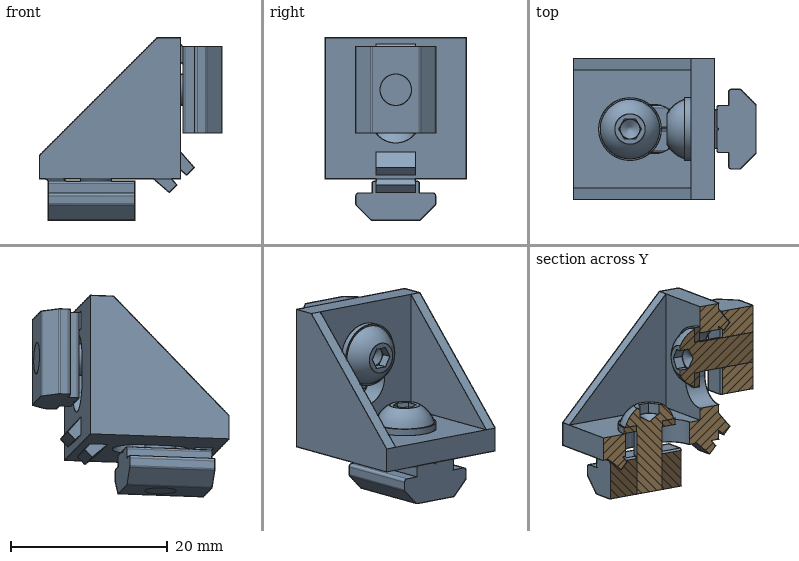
import cadquery as cq
import math

leg_length = 18.0
bracket_width = leg_length
plate_thickness = 3.0
cheek_thickness = 1.5

slot_width = 6.3
slot_start = 6.66
slot_end = 10.28

tab_width = 4.99
tab_slant = 45.0
tab_draft = 4.0
tab_tip_thickness = 1.37
tab_reach = 1.77
tab_buried = 1.5
tab_start = 2.05
tab_pitch = 13.75
tabs_per_leg = 2

overall_length = 23.3
nut_gap = 0.28
nut_height = overall_length - leg_length - nut_gap
nut_length = 11.05
nut_width = 10.2
nut_start = 1.12
neck_width = 6.03
neck_height = 1.5
nut_bevel = 2.0
neck_fillet = 0.3
shoulder_fillet = 0.4
bevel_fillet = 0.3
groove_width = 0.47
groove_depth = groove_width / 2

washer_diameter = 8.0
washer_thickness = 0.85
shank_diameter = 4.0
head_diameter = 7.6
head_flat_diameter = 3.87
head_height = 2.24
hex_across_flats = 2.52
hex_depth = 1.3
hex_cone_angle = 120.0

base_screw_position = 7.22
upright_screw_position = nut_start + nut_length / 2


def on_base(shape):
    """The base leg is where every fastener is modelled, so it needs no move."""
    return shape


def on_upright(shape):
    """Half turn about the diagonal of the bracket, which swaps the base leg and the upright leg."""
    return shape.rotate((leg_length, 0, 0), (0, 0, leg_length), 180)


def make_tab(axis_position):
    """Tapered tab whose slanted axis crosses the outer face of the base leg at axis_position."""
    tip_half = tab_tip_thickness / 2
    buried_half = tip_half + (tab_reach + tab_buried) * math.tan(math.radians(tab_draft))
    return (
        cq.Workplane("XZ")
        .polyline([
            (-tab_buried, -buried_half),
            (tab_reach, -tip_half),
            (tab_reach, tip_half),
            (-tab_buried, buried_half),
        ])
        .close()
        .extrude(tab_width / 2, both=True)
        .rotate((0, 0, 0), (0, 1, 0), tab_slant)
        .translate((axis_position, 0, 0))
    )


def make_leg_slot():
    """Round-ended cutter through the base leg."""
    return (
        cq.Workplane("XY")
        .center((slot_start + slot_end) / 2, 0)
        .slot2D(slot_end - slot_start + slot_width, slot_width)
        .extrude(plate_thickness)
    )


def make_bracket():
    body = (
        cq.Workplane("XZ")
        .polyline([
            (0, 0),
            (leg_length, 0),
            (leg_length, leg_length),
            (leg_length - plate_thickness, leg_length),
            (0, plate_thickness),
        ])
        .close()
        .extrude(bracket_width / 2, both=True)
    )
    inside_length = leg_length - plate_thickness
    inside = (
        cq.Workplane("XY")
        .box(inside_length, bracket_width - 2 * cheek_thickness, inside_length, centered=(False, True, False))
        .translate((0, 0, plate_thickness))
    )
    body = body.cut(inside)
    for place in (on_base, on_upright):
        body = body.cut(place(make_leg_slot()))
        for index in range(tabs_per_leg):
            body = body.union(place(make_tab(tab_start + index * tab_pitch)))
    return body


def make_washer(position):
    return (
        cq.Workplane("XY")
        .circle(washer_diameter / 2)
        .circle(shank_diameter / 2)
        .extrude(washer_thickness)
        .translate((position, 0, plate_thickness))
    )


def make_head():
    """Spherical button head standing on z = 0."""
    base_radius = head_diameter / 2
    flat_radius = head_flat_diameter / 2
    centre_height = (flat_radius**2 + head_height**2 - base_radius**2) / (2 * head_height)
    sphere_radius = math.hypot(base_radius, centre_height)
    middle_height = head_height / 2
    middle_radius = math.sqrt(sphere_radius**2 - (middle_height - centre_height)**2)
    return (
        cq.Workplane("XZ")
        .lineTo(base_radius, 0)
        .threePointArc((middle_radius, middle_height), (flat_radius, head_height))
        .lineTo(0, head_height)
        .close()
        .revolve(360, (0, 0, 0), (0, 1, 0))
    )


def make_hex_socket():
    """Hexagonal socket with a drill-point bottom, cut down from the top of the head."""
    floor_height = head_height - hex_depth
    across_corners = hex_across_flats / math.cos(math.pi / 6)
    drill_radius = hex_across_flats / 2
    drill_depth = drill_radius / math.tan(math.radians(hex_cone_angle / 2))
    hexagon = (
        cq.Workplane("XY")
        .workplane(offset=floor_height)
        .polygon(6, across_corners)
        .extrude(hex_depth)
    )
    drill_point = (
        cq.Workplane("XZ")
        .moveTo(0, floor_height)
        .lineTo(drill_radius, floor_height)
        .lineTo(0, floor_height - drill_depth)
        .close()
        .revolve(360, (0, 0, 0), (0, 1, 0))
    )
    return hexagon.union(drill_point)


def make_screw(position, socket_turn):
    """Button-head screw whose shank ends flush with the far face of the nut."""
    shank_length = washer_thickness + plate_thickness + nut_gap + nut_height
    shank = cq.Workplane("XY").circle(shank_diameter / 2).extrude(-shank_length)
    socket = make_hex_socket().rotate((0, 0, 0), (0, 0, 1), socket_turn)
    screw = make_head().union(shank).cut(socket)
    return screw.translate((position, 0, plate_thickness + washer_thickness))


def make_nut(screw_position):
    """T-slot nut under the base leg, with a recess for the tab that reaches into it."""
    top = -nut_gap
    shoulder = top - neck_height
    bottom = top - nut_height
    neck_half = neck_width / 2
    nut_half = nut_width / 2
    right_side = [
        (neck_half, top),
        (neck_half, shoulder),
        (nut_half, shoulder),
        (nut_half, bottom + nut_bevel),
        (nut_half - nut_bevel, bottom),
    ]
    left_side = [(-y, z) for y, z in reversed(right_side)]
    nut = (
        cq.Workplane("YZ")
        .polyline(right_side + left_side)
        .close()
        .extrude(nut_length)
    )

    middle = nut_length / 2
    edge_fillets = [
        (neck_half, top, neck_fillet),
        (nut_half, shoulder, shoulder_fillet),
        (nut_half, bottom + nut_bevel, bevel_fillet),
        (nut_half - nut_bevel, bottom, bevel_fillet),
    ]
    for y, z, radius in edge_fillets:
        for side in (-1, 1):
            edge = cq.selectors.NearestToPointSelector((middle, side * y, z))
            nut = nut.edges(edge).fillet(radius)

    groove = (
        cq.Workplane("YZ")
        .polyline([(-groove_width / 2, top), (groove_width / 2, top), (0, top - groove_depth)])
        .close()
        .extrude(nut_length)
    )
    nut = nut.cut(groove).translate((nut_start, 0, 0))

    screw_hole = (
        cq.Workplane("XY")
        .center(screw_position, 0)
        .circle(shank_diameter / 2)
        .extrude(bottom)
    )
    return nut.cut(screw_hole).cut(make_tab(tab_start))


bracket = make_bracket()

fastener_sets = (
    (on_base, base_screw_position, 0),
    (on_upright, upright_screw_position, 90),
)
washers = []
screws = []
nuts = []
for place, position, socket_turn in fastener_sets:
    washers.append(place(make_washer(position)).solids().val())
    screws.append(place(make_screw(position, socket_turn)).solids().val())
    nuts.append(place(make_nut(position)).solids().val())

result = cq.Compound.makeCompound([bracket.solids().val(), *washers, *screws, *nuts])